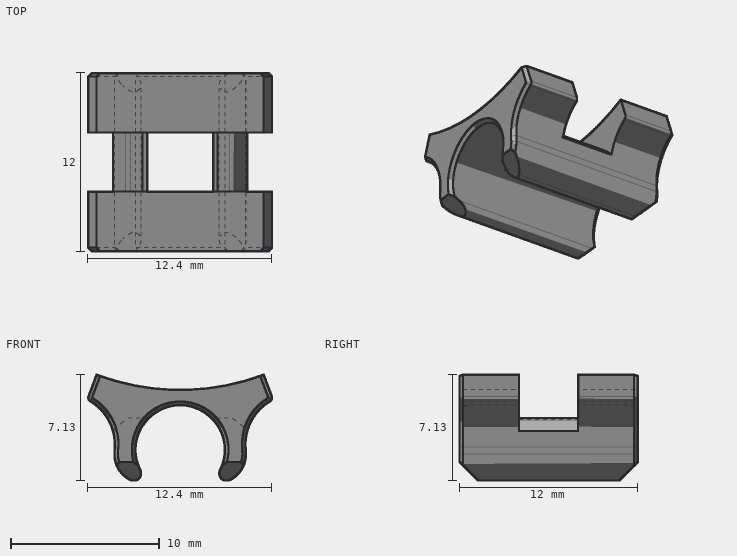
import cadquery as cq
import math

length = 11.99
bore_radius = 3.0

saddle_radius = 16.0
saddle_bottom_z = 4.03
saddle_half_angle = math.radians(20.55)

flank_radius = 3.35
flank_center = (7.75, 0.39)
flank_end_z = 0.20
wing_tip_fillet = 0.26

arm_half_width = 4.43
arm_bend_z = -0.28
tip_radius = 0.5
tip_angle = math.radians(26.8)

end_chamfer = 0.25
lead_in_z = -0.81

slot_width = 3.97
slot_floor_z = 2.15
slot_lip_x = 2.21
slot_floor_inner_x = 2.52
slot_floor_outer_x = 3.33
slot_shoulder_radius = 0.5
slot_shoulder_angle = math.radians(46)
slot_slope_sag = 0.025
slot_slope_end = (4.51, 1.28)

overshoot = 5.0


def polar(center, radius, angle):
    """Point at the given angle on a circle in the XZ plane."""
    return (center[0] + radius * math.cos(angle), center[1] + radius * math.sin(angle))


def mirrored(point):
    """Point on the opposite side of the YZ plane."""
    return (-point[0], point[1])


def arc_middle(center, start, end):
    """Middle of the minor arc around the center from start to end."""
    toward_x = start[0] + end[0] - 2 * center[0]
    toward_z = start[1] + end[1] - 2 * center[1]
    return polar(center, math.dist(center, start), math.atan2(toward_z, toward_x))


def ray_to_circle(origin, direction, center, radius):
    """First point where a ray with unit direction meets a circle."""
    to_center_x = center[0] - origin[0]
    to_center_z = center[1] - origin[1]
    along = to_center_x * direction[0] + to_center_z * direction[1]
    miss = to_center_x * direction[1] - to_center_z * direction[0]
    distance = along - math.sqrt(radius**2 - miss**2)
    return (origin[0] + distance * direction[0], origin[1] + distance * direction[1])


def make_body():
    """Constant-section clip with rounded wing tips."""
    saddle_center = (0, saddle_bottom_z + saddle_radius)
    side_angle = saddle_half_angle - math.pi / 2
    side_direction = polar((0, 0), 1, side_angle)
    saddle_corner = polar(saddle_center, saddle_radius, side_angle)
    wing_tip = ray_to_circle(saddle_corner, side_direction, flank_center, flank_radius)

    flank_drop = flank_center[1] - flank_end_z
    flank_end = (flank_center[0] - math.sqrt(flank_radius**2 - flank_drop**2), flank_end_z)
    flank_middle = arc_middle(flank_center, wing_tip, flank_end)

    tip_center = polar((0, 0), bore_radius + tip_radius, -tip_angle)
    tip_end = polar((0, 0), bore_radius, -tip_angle)

    inset = arm_half_width - tip_center[0]
    drop = arm_bend_z - tip_center[1]
    bend_radius = (inset**2 + drop**2 - tip_radius**2) / (2 * (inset - tip_radius))
    bend_start = (arm_half_width, arm_bend_z)
    bend_center = (arm_half_width - bend_radius, arm_bend_z)
    bend_end = polar(bend_center, bend_radius, math.atan2(-drop, tip_center[0] - bend_center[0]))
    bend_middle = arc_middle(bend_center, bend_start, bend_end)
    tip_middle = arc_middle(tip_center, bend_end, tip_end)

    body = (
        cq.Workplane("XZ")
        .moveTo(*mirrored(saddle_corner))
        .threePointArc((0, saddle_bottom_z), saddle_corner)
        .lineTo(*wing_tip)
        .threePointArc(flank_middle, flank_end)
        .lineTo(*bend_start)
        .threePointArc(bend_middle, bend_end)
        .threePointArc(tip_middle, tip_end)
        .threePointArc((0, bore_radius), mirrored(tip_end))
        .threePointArc(mirrored(tip_middle), mirrored(bend_end))
        .threePointArc(mirrored(bend_middle), mirrored(bend_start))
        .lineTo(*mirrored(flank_end))
        .threePointArc(mirrored(flank_middle), mirrored(wing_tip))
        .close()
        .extrude(length / 2, both=True)
    )
    for x, z in (wing_tip, mirrored(wing_tip)):
        tip_edge = cq.selectors.NearestToPointSelector((x, 0, z))
        body = body.edges(tip_edge).fillet(wing_tip_fillet)
    return body


def chamfer_ends(body):
    """Bevel every end-face edge except the saddle arc."""
    for end_face, end_y in (("<Y", -length / 2), (">Y", length / 2)):
        saddle_edge = cq.selectors.NearestToPointSelector((0, end_y, saddle_bottom_z))
        edges = body.faces(end_face).edges()
        saddle = edges.edges(saddle_edge).val()
        beveled = [edge for edge in edges.vals() if not edge.isSame(saddle)]
        body = edges.newObject(beveled).chamfer(end_chamfer)
    return body


def lead_in(side):
    """Wedge that cuts the arms at 45 degrees below one end face."""
    end_y = side * length / 2
    return (
        cq.Workplane("YZ")
        .moveTo(end_y, lead_in_z)
        .lineTo(end_y - side * overshoot, lead_in_z - overshoot)
        .lineTo(end_y, lead_in_z - overshoot)
        .close()
        .extrude(arm_half_width + overshoot, both=True)
    )


def slot():
    """Cutter that removes the saddle and wings across the middle."""
    lip = (slot_lip_x, math.sqrt(bore_radius**2 - slot_lip_x**2))
    floor_inner = (slot_floor_inner_x, slot_floor_z)
    floor_outer = (slot_floor_outer_x, slot_floor_z)
    shoulder_center = (slot_floor_outer_x, slot_floor_z - slot_shoulder_radius)
    shoulder_end = polar(shoulder_center, slot_shoulder_radius, math.pi / 2 - slot_shoulder_angle)
    shoulder_middle = arc_middle(shoulder_center, floor_outer, shoulder_end)
    outer_x = slot_slope_end[0] + overshoot
    top_z = saddle_bottom_z + overshoot
    half = (
        cq.Workplane("XZ")
        .moveTo(0, lip[1])
        .lineTo(*lip)
        .lineTo(*floor_inner)
        .lineTo(*floor_outer)
        .threePointArc(shoulder_middle, shoulder_end)
        .sagittaArc(slot_slope_end, slot_slope_sag)
        .lineTo(outer_x, slot_slope_end[1])
        .lineTo(outer_x, top_z)
        .lineTo(0, top_z)
        .close()
        .extrude(slot_width / 2, both=True)
    )
    return half.union(half.mirror("YZ"))


result = chamfer_ends(make_body()).cut(lead_in(-1)).cut(lead_in(1)).cut(slot())